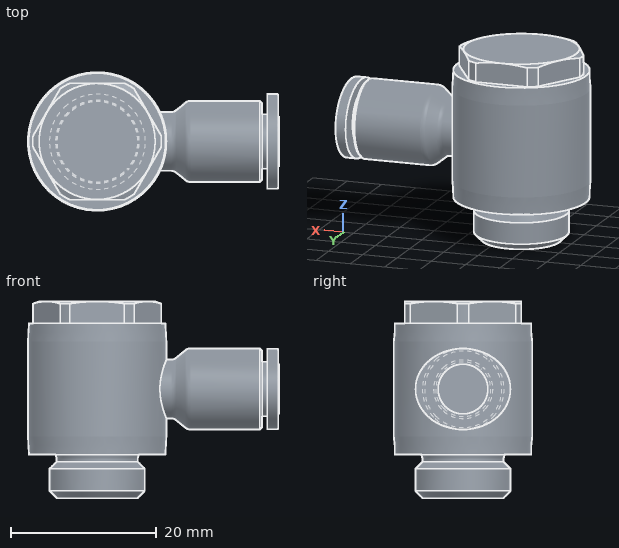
import cadquery as cq
import math

body_radius = 9.5
body_end_radius = 9.37
body_bottom = 6.0
body_top = 24.0
taper_height = 2.48
port_height = (body_bottom + body_top) / 2

total_height = 27.0
hex_across_flats = 16.0
hex_corner_radius = 8.82
hex_top_radius = 7.95
hex_chamfer_angle = 20.0

thread_radius = 6.55
thread_chamfer = 1.05
thread_top = 4.05
groove_radius = 5.58
groove_top = 5.5
stub_shoulder_radius = 5.72

neck_radius = 8.1 / 2
neck_end = 10.15
port_radius = 5.58
port_end = 22.6
port_chamfer = 0.3
cone_blend_radius = 1.0
cone_angle = 39.0

sleeve_radius = 3.75
flange_half_width = 6.5
flange_half_height = 5.55
flange_start = 23.3
flange_edge_radius = 0.2
total_length = 34.45
part_end = total_length - body_radius
rim_radius = 3.4
rim_height = 0.1


def make_body_and_stub():
    """Revolve the swivel body together with the threaded stub."""
    thread_chamfer_radius = thread_radius - thread_chamfer
    groove_bottom = thread_top + (thread_radius - groove_radius)
    return (
        cq.Workplane("XZ")
        .lineTo(thread_chamfer_radius, 0)
        .lineTo(thread_radius, thread_chamfer)
        .lineTo(thread_radius, thread_top)
        .lineTo(groove_radius, groove_bottom)
        .lineTo(groove_radius, groove_top)
        .lineTo(stub_shoulder_radius, body_bottom)
        .lineTo(body_end_radius, body_bottom)
        .lineTo(body_radius, body_bottom + taper_height)
        .lineTo(body_radius, body_top - taper_height)
        .lineTo(body_end_radius, body_top)
        .lineTo(0, body_top)
        .close()
        .revolve(360, (0, 0, 0), (0, 1, 0))
    )


def make_hex_head():
    """Hexagon with flats facing +Y and -Y, trimmed by a round blank with a chamfered top."""
    across_corners = hex_across_flats / math.cos(math.radians(30))
    hexagon = (
        cq.Workplane("XY")
        .workplane(offset=body_top)
        .polygon(6, across_corners)
        .extrude(total_height - body_top)
    )
    chamfer_drop = (hex_corner_radius - hex_top_radius) * math.tan(math.radians(hex_chamfer_angle))
    blank = (
        cq.Workplane("XZ")
        .moveTo(0, body_top)
        .lineTo(hex_corner_radius, body_top)
        .lineTo(hex_corner_radius, total_height - chamfer_drop)
        .lineTo(hex_top_radius, total_height)
        .lineTo(0, total_height)
        .close()
        .revolve(360, (0, 0, 0), (0, 1, 0))
    )
    return hexagon.intersect(blank)


def make_port():
    """Revolve the neck, the blended cone, the port barrel and the sleeve around the port axis."""
    slope = math.radians(cone_angle)
    blend_length = cone_blend_radius * math.sin(slope)
    blend_rise = cone_blend_radius * (1 - math.cos(slope))
    cone_rise = port_radius - neck_radius - 2 * blend_rise
    port_start = neck_end + 2 * blend_length + cone_rise / math.tan(slope)
    half_length = cone_blend_radius * math.sin(slope / 2)
    half_rise = cone_blend_radius * (1 - math.cos(slope / 2))
    return (
        cq.Workplane("XZ", origin=(0, 0, port_height))
        .lineTo(0, neck_radius)
        .lineTo(neck_end, neck_radius)
        .threePointArc(
            (neck_end + half_length, neck_radius + half_rise),
            (neck_end + blend_length, neck_radius + blend_rise),
        )
        .lineTo(port_start - blend_length, port_radius - blend_rise)
        .threePointArc(
            (port_start - half_length, port_radius - half_rise),
            (port_start, port_radius),
        )
        .lineTo(port_end - port_chamfer, port_radius)
        .lineTo(port_end, port_radius - port_chamfer)
        .lineTo(port_end, sleeve_radius)
        .lineTo(flange_start, sleeve_radius)
        .lineTo(flange_start, 0)
        .close()
        .revolve(360, (0, 0, 0), (1, 0, 0))
    )


def make_flange():
    """Oval push flange, wider along Y than along Z, with a rounded outer edge and a round rim."""
    flange_end = part_end - rim_height
    oval = (
        cq.Workplane("YZ", origin=(flange_start, 0, port_height))
        .ellipse(flange_half_width, flange_half_height)
        .extrude(flange_end - flange_start)
        .faces(">X")
        .edges()
        .fillet(flange_edge_radius)
    )
    rim = cq.Workplane("YZ", origin=(flange_end, 0, port_height)).circle(rim_radius).extrude(rim_height)
    return oval.union(rim)


result = make_body_and_stub().union(make_hex_head()).union(make_port()).union(make_flange())